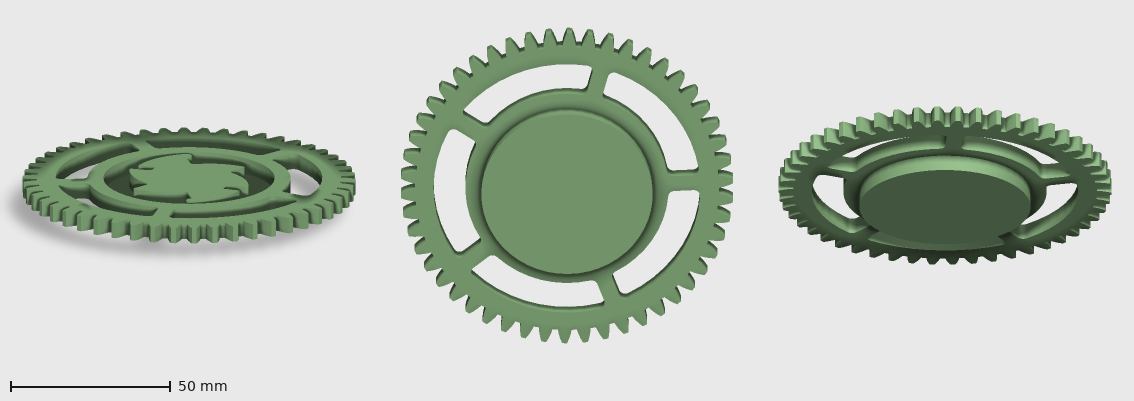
import cadquery as cq
import math

layer = 5.0
total_height = 2 * layer

tooth_count = 50
gear_radius = 52.0
gear_turn = 0.5
pressure_angle = math.radians(20)
root_depth_factor = 1.25
module = 2 * gear_radius / (tooth_count + 2)
pitch_radius = module * tooth_count / 2
base_radius = pitch_radius * math.cos(pressure_angle)
gear_root_radius = pitch_radius - root_depth_factor * module
tooth_pitch = 360 / tooth_count

disc_radius = 53.6 / 2
hub_radius = disc_radius + layer
rim_radius = 41.7
spoke_count = 5
spoke_width = 5.0
spoke_turn = 43.7
window_fillet = 2.0

shaft_diameter = 10.0
ratchet_teeth = 6
ratchet_pitch = 360 / ratchet_teeth
ratchet_turn = 46.5
ratchet_tip_radius = 21.0
ratchet_root_radius = 13.9
flank_lean = 5.3
back_radius = 20.0
ratchet_tip_fillet = 0.7
ratchet_root_fillet = 1.5

pawl_count = 2
pin_diameter = 1.5
pivot_radius = 23.0
pivot_turn = 166.7
pawl_tooth = 2
outer_arc_center = (-2.4, 4.8)
pawl_outer_end = 228.7
pawl_inner_end = 230.3


def polar(radius, degrees, center=(0, 0)):
    """Point at a radius and angle around a centre."""
    angle = math.radians(degrees)
    return (center[0] + radius * math.cos(angle), center[1] + radius * math.sin(angle))


def direction(start, end):
    """Angle of the line from start to end, from 0 to 360 degrees."""
    return math.degrees(math.atan2(end[1] - start[1], end[0] - start[0])) % 360


def midpoint(start, end):
    return ((start[0] + end[0]) / 2, (start[1] + end[1]) / 2)


def upper_layer():
    """Sketch plane on top of the base disc."""
    return cq.Workplane("XY", origin=(0, 0, layer))


def involute(angle):
    return math.tan(angle) - angle


def half_tooth_angle(radius):
    """Half the angle, in degrees, that a gear tooth covers at a radius."""
    at_pitch = math.pi / (2 * tooth_count)
    local_pressure = math.acos(base_radius / radius)
    return math.degrees(at_pitch + involute(pressure_angle) - involute(local_pressure))


def gear_blank():
    root_half = half_tooth_angle(gear_root_radius)
    pitch_half = half_tooth_angle(pitch_radius)
    tip_half = half_tooth_angle(gear_radius)
    outline = upper_layer().moveTo(*polar(gear_root_radius, gear_turn - root_half))
    for tooth in range(tooth_count):
        middle = gear_turn + tooth * tooth_pitch
        outline = outline.threePointArc(
            polar(pitch_radius, middle - pitch_half), polar(gear_radius, middle - tip_half)
        )
        outline = outline.threePointArc(polar(gear_radius, middle), polar(gear_radius, middle + tip_half))
        outline = outline.threePointArc(
            polar(pitch_radius, middle + pitch_half), polar(gear_root_radius, middle + root_half)
        )
        outline = outline.threePointArc(
            polar(gear_root_radius, middle + tooth_pitch / 2),
            polar(gear_root_radius, middle + tooth_pitch - root_half),
        )
    return outline.close().extrude(layer)


def gear_windows():
    """Ring between hub and rim, divided by the spokes, with rounded corners."""
    windows = upper_layer().circle(rim_radius).circle(hub_radius).extrude(layer)
    for spoke in range(spoke_count):
        bar = upper_layer().center(rim_radius, 0).rect(2 * rim_radius, spoke_width).extrude(layer)
        turn = spoke_turn + spoke * 360 / spoke_count
        windows = windows.cut(bar.rotate((0, 0, 0), (0, 0, 1), turn))
    return windows.edges("|Z").fillet(window_fillet)


def make_gear():
    bore = upper_layer().circle(disc_radius).extrude(layer)
    return gear_blank().cut(bore).cut(gear_windows())


def ratchet_tip(tooth):
    return polar(ratchet_tip_radius, ratchet_turn + tooth * ratchet_pitch)


def ratchet_root(tooth):
    return polar(ratchet_root_radius, ratchet_turn + tooth * ratchet_pitch - flank_lean)


def back_center(tooth):
    """Centre of the arc from a tooth's tip to the root before the next tooth."""
    tip = ratchet_tip(tooth)
    root = ratchet_root(tooth + 1)
    half_chord = math.dist(tip, root) / 2
    offset = math.sqrt(back_radius**2 - half_chord**2)
    return polar(offset, direction(tip, root) + 90, midpoint(tip, root))


def axis_distance(edge):
    center = edge.Center()
    return math.hypot(center.x, center.y)


def make_ratchet():
    outline = upper_layer().moveTo(*ratchet_tip(0))
    for tooth in range(ratchet_teeth):
        tip = ratchet_tip(tooth)
        next_root = ratchet_root(tooth + 1)
        center = back_center(tooth)
        toward_middle = direction(center, midpoint(tip, next_root))
        outline = outline.threePointArc(polar(back_radius, toward_middle, center), next_root)
        if tooth < ratchet_teeth - 1:
            outline = outline.lineTo(*ratchet_tip(tooth + 1))
    wheel = outline.close().extrude(layer)

    mid_tooth_radius = (ratchet_tip_radius + ratchet_root_radius) / 2
    tips = wheel.edges("|Z").filter(lambda edge: axis_distance(edge) > mid_tooth_radius)
    wheel = tips.fillet(ratchet_tip_fillet)
    roots = wheel.edges("|Z").filter(lambda edge: axis_distance(edge) < mid_tooth_radius)
    wheel = roots.fillet(ratchet_root_fillet)
    shaft_hole = upper_layer().circle(shaft_diameter / 2).extrude(layer)
    return wheel.cut(shaft_hole)


def make_shaft():
    return cq.Workplane("XY").circle(shaft_diameter / 2).extrude(total_height)


def pivot_point(pawl):
    return polar(pivot_radius, pivot_turn + pawl * 360 / pawl_count)


def make_disc():
    """Base disc with the shaft hole and the pins that the pawls swing on."""
    disc = cq.Workplane("XY").circle(disc_radius).circle(shaft_diameter / 2).extrude(layer)
    pivots = [pivot_point(pawl) for pawl in range(pawl_count)]
    pins = cq.Workplane("XY").pushPoints(pivots).circle(pin_diameter / 2).extrude(total_height)
    return disc.union(pins)


def make_pawl(pawl):
    """Curved arm, its inner side lying on a ratchet tooth's back."""
    pivot = pivot_point(0)
    inner_center = back_center(pawl_tooth)
    eye_radius = math.dist(pivot, inner_center) - back_radius
    outer_radius = math.dist(pivot, outer_arc_center) + eye_radius

    inner_start = direction(inner_center, pivot)
    outer_start = direction(outer_arc_center, pivot)
    inner_middle = (inner_start + pawl_inner_end) / 2
    outer_middle = (outer_start + pawl_outer_end) / 2
    arm = (
        upper_layer()
        .moveTo(*polar(outer_radius, outer_start, outer_arc_center))
        .threePointArc(
            polar(outer_radius, outer_middle, outer_arc_center),
            polar(outer_radius, pawl_outer_end, outer_arc_center),
        )
        .lineTo(*polar(back_radius, pawl_inner_end, inner_center))
        .threePointArc(
            polar(back_radius, inner_middle, inner_center),
            polar(back_radius, inner_start, inner_center),
        )
        .threePointArc(polar(eye_radius, 90, pivot), polar(outer_radius, outer_start, outer_arc_center))
        .close()
        .extrude(layer)
    )
    pin_hole = upper_layer().center(*pivot).circle(pin_diameter / 2).extrude(layer)
    return arm.cut(pin_hole).rotate((0, 0, 0), (0, 0, 1), pawl * 360 / pawl_count)


gear = make_gear()
disc = make_disc()
ratchet = make_ratchet()
shaft = make_shaft()
pawls = [make_pawl(pawl) for pawl in range(pawl_count)]

bodies = [gear, disc, ratchet, shaft, *pawls]
result = cq.Compound.makeCompound([body.solids().val() for body in bodies])